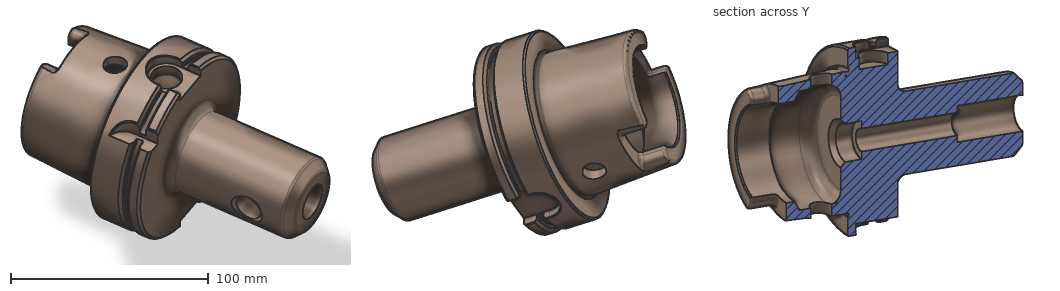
import cadquery as cq
import math


total_length = 151.6
taper_length = 50.0
flange_width = 29.3
flange_end = taper_length + flange_width

taper_small_diameter = 71.0
taper_large_diameter = 76.0
taper_end_fillet = 2.0
relief_diameter = 75.5
relief_width = 2.1
relief_shoulder = 0.9

flange_diameter = 100.0
flange_front_chamfer = 0.9
flange_rear_chamfer = 1.4
groove_center = 70.2
groove_floor_diameter = 91.7
groove_floor_width = 3.8
groove_floor_fillet = 0.5
groove_mouth_width = 6.4
groove_flank_depth = 2.0
face_recess_diameter = 78.8
face_recess_depth = 0.8
face_recess_fillet = 0.6

shank_diameter = 44.4
shank_root_fillet = 4.5
shank_end_chamfer = 5.2
shank_end_fillet = 2.0

mouth_diameter = 53.0
mouth_chamfer = 0.8
lip_length = 19.5
undercut_diameter = 63.0
undercut_angle = 60.0
cavity_floor_diameter = 49.7
cavity_floor_x = 46.1
tube_bore_diameter = 20.0
tube_mouth_diameter = 25.5
tube_bore_depth = 12.1
coolant_diameter = 12.0
shank_bore_diameter = 19.1
shank_bore_depth = 37.9

drive_slot_width = 20.6
drive_slot_round = 5.0
drive_slot_ledge = 31.7
upper_slot_depth = 10.0
lower_slot_depth = 14.5
slot_floor_fillet = 2.0
slot_mouth_fillet = 1.5

pocket_width = 20.0
pocket_center_x = 65.2
pocket_floor_height = 44.0
pocket_rim_chamfer = 0.53
pocket_hole_diameter = 16.0
pocket_hole_depth = 6.0
notch_floor_height = 31.1
notch_wall_y = -31.5

access_hole_x = 34.9
access_hole_diameter = 12.0
clamp_hole_x = 126.1
clamp_hole_diameter = 14.4
clamp_sink_diameter = 18.2

margin = 3.0


def revolve_x(outline):
    """Turn a closed (x, radius) outline into a solid around the X axis."""
    return outline.close().revolve(360, (0, 0, 0), (1, 0, 0))


def axial_cylinder(start, end, diameter):
    return cq.Workplane("YZ", origin=(start, 0, 0)).circle(diameter / 2).extrude(end - start)


def circles_near(body, x):
    """Full circles of a turned body whose plane lies at the given x."""
    span = total_length
    near = cq.selectors.BoxSelector((x - 0.02, -span, -span), (x + 0.02, span, span))
    return body.edges(near).edges("%CIRCLE")


def countersunk_hole(bottom, surface, hole_diameter, sink_diameter):
    """Upright hole whose 45 degree countersink has its diameter at the surface height."""
    hole = hole_diameter / 2
    sink = sink_diameter / 2
    top = surface + margin
    return (
        cq.Workplane("XZ")
        .moveTo(0, bottom)
        .lineTo(hole, bottom)
        .lineTo(hole, surface - sink + hole)
        .lineTo(sink + margin, top)
        .lineTo(0, top)
        .close()
        .revolve(360, (0, 0, 0), (0, 1, 0))
    )


def make_taper():
    small = taper_small_diameter / 2
    large = taper_large_diameter / 2
    relief = relief_diameter / 2
    taper_end = taper_length - relief_width
    taper = revolve_x(
        cq.Workplane("XY")
        .lineTo(0, small)
        .lineTo(taper_end, large)
        .lineTo(taper_end + relief_shoulder, relief)
        .lineTo(taper_length, relief)
        .lineTo(taper_length, 0)
    )
    taper = taper.faces("<X").edges().fillet(taper_end_fillet)
    upper_slot = drive_slot(upper_slot_depth)
    lower_slot = drive_slot(lower_slot_depth).mirror("XY")
    return taper.cut(upper_slot).cut(lower_slot)


def drive_slot(depth):
    """Slot from the axis upward whose walls round outward onto flat ledges."""
    half = drive_slot_width / 2
    side = flange_diameter / 2
    top = flange_diameter / 2
    wall_top = drive_slot_ledge - drive_slot_round
    ledge_start = half + drive_slot_round
    slot = (
        cq.Workplane("YZ")
        .lineTo(half, 0)
        .lineTo(half, wall_top)
        .radiusArc((ledge_start, drive_slot_ledge), drive_slot_round)
        .lineTo(side, drive_slot_ledge)
        .lineTo(side, top)
        .lineTo(0, top)
        .mirrorY()
        .extrude(depth)
        .faces(">X").edges("not(<Z or >Z)").fillet(slot_floor_fillet)
    )
    plate = cq.Workplane("XY").box(margin, 2 * side, top, centered=(False, True, False))
    slot = slot.union(plate.translate((-margin, 0, 0)))
    mouth = cq.selectors.BoxSelector((-0.02, -side, 0), (0.02, side, top))
    return slot.edges(mouth).fillet(slot_mouth_fillet)


def make_flange():
    radius = flange_diameter / 2
    flange = axial_cylinder(taper_length, flange_end, flange_diameter)
    flange = flange.faces("<X").chamfer(flange_front_chamfer)
    flange = flange.faces(">X").chamfer(flange_rear_chamfer)

    pocket = open_pocket(0, pocket_floor_height)
    notch = open_pocket(notch_wall_y - pocket_width / 2, notch_floor_height)
    flange = flange.cut(pocket).cut(pocket.mirror("XY")).cut(notch)
    flange = flange.edges("%BSPLINE").chamfer(pocket_rim_chamfer)

    hole_bottom = pocket_floor_height - pocket_hole_depth
    hole = (
        cq.Workplane("XY", origin=(pocket_center_x, 0, hole_bottom))
        .circle(pocket_hole_diameter / 2)
        .extrude(radius - hole_bottom)
    )
    return flange.cut(hole).cut(gripper_groove()).cut(face_recess())


def open_pocket(center_y, floor_height):
    """Round-ended pocket that runs out through the rear face of the flange."""
    half = pocket_width / 2
    run_out = flange_end + margin - pocket_center_x
    height = flange_diameter / 2 + margin - floor_height
    return (
        cq.Workplane("XY", origin=(pocket_center_x, center_y, floor_height))
        .moveTo(run_out, half)
        .lineTo(0, half)
        .threePointArc((-half, 0), (0, -half))
        .lineTo(run_out, -half)
        .close()
        .extrude(height)
    )


def gripper_groove():
    """Straight-walled ring groove that opens into two sloping flanks."""
    rim = flange_diameter / 2
    flank_foot = rim - groove_flank_depth
    floor = groove_floor_diameter / 2
    narrow = groove_floor_width / 2
    wide = groove_mouth_width / 2
    groove = revolve_x(
        cq.Workplane("XY", origin=(groove_center, 0, 0))
        .moveTo(-narrow, floor)
        .lineTo(-narrow, flank_foot)
        .lineTo(-wide, rim)
        .lineTo(-wide, rim + margin)
        .lineTo(wide, rim + margin)
        .lineTo(wide, rim)
        .lineTo(narrow, flank_foot)
        .lineTo(narrow, floor)
    )
    return groove.edges(cq.selectors.RadiusNthSelector(0)).fillet(groove_floor_fillet)


def face_recess():
    """Shallow ring sunk into the front face of the flange around the taper root."""
    recess_floor = taper_length + face_recess_depth
    ring = axial_cylinder(taper_length, recess_floor, face_recess_diameter)
    ring = ring.cut(axial_cylinder(taper_length, recess_floor, relief_diameter))
    return ring.faces(">X").edges(cq.selectors.RadiusNthSelector(0)).fillet(face_recess_fillet)


def make_shank():
    radius = shank_diameter / 2
    root = radius + shank_root_fillet
    chamfer_start = total_length - shank_end_chamfer
    shank = revolve_x(
        cq.Workplane("XY")
        .moveTo(flange_end - margin, 0)
        .lineTo(flange_end - margin, root)
        .lineTo(flange_end, root)
        .radiusArc((flange_end + shank_root_fillet, radius), -shank_root_fillet)
        .lineTo(chamfer_start, radius)
        .lineTo(total_length, radius - shank_end_chamfer)
        .lineTo(total_length, 0)
    )
    shank = circles_near(shank, chamfer_start).fillet(shank_end_fillet)
    return circles_near(shank, total_length).fillet(shank_end_fillet)


def make_cavity():
    """Undercut clamping cavity with a rounded floor and a bore for the coolant tube."""
    lip = mouth_diameter / 2
    undercut = undercut_diameter / 2
    floor_round = (undercut_diameter - cavity_floor_diameter) / 2
    ramp_length = (undercut - lip) / math.tan(math.radians(undercut_angle))
    tube = tube_bore_diameter / 2
    tube_mouth = tube_mouth_diameter / 2
    tube_end = cavity_floor_x + tube_bore_depth
    return revolve_x(
        cq.Workplane("XY")
        .lineTo(0, lip + mouth_chamfer)
        .lineTo(mouth_chamfer, lip)
        .lineTo(lip_length, lip)
        .lineTo(lip_length + ramp_length, undercut)
        .lineTo(cavity_floor_x - floor_round, undercut)
        .radiusArc((cavity_floor_x, undercut - floor_round), floor_round)
        .lineTo(cavity_floor_x, tube_mouth)
        .lineTo(cavity_floor_x + tube_mouth - tube, tube)
        .lineTo(tube_end, tube)
        .lineTo(tube_end, 0)
    )


def make_access_hole():
    """Straight hole through both walls of the taper, across the axis."""
    reach = flange_diameter / 2
    return (
        cq.Workplane("XY", origin=(access_hole_x, 0, -reach))
        .circle(access_hole_diameter / 2)
        .extrude(2 * reach)
    )


def make_clamp_hole():
    """Radial hole from the -Y side of the shank into its axial bore."""
    hole = countersunk_hole(0, shank_diameter / 2, clamp_hole_diameter, clamp_sink_diameter)
    return hole.rotate((0, 0, 0), (1, 0, 0), 90).translate((clamp_hole_x, 0, 0))


result = (
    make_taper()
    .union(make_flange())
    .union(make_shank())
    .cut(make_cavity())
    .cut(axial_cylinder(0, total_length, coolant_diameter))
    .cut(axial_cylinder(total_length - shank_bore_depth, total_length, shank_bore_diameter))
    .cut(make_access_hole())
    .cut(make_clamp_hole())
)